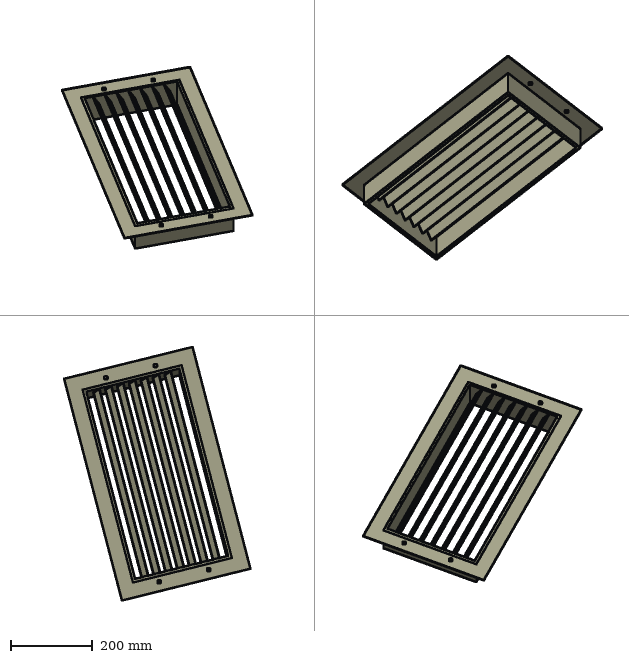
import cadquery as cq

flange_length = 575.0
flange_width = 325.0
flange_thickness = 2.0

overall_depth = 75.0
sleeve_length = 500.0
sleeve_width = 250.0
sleeve_wall = 7.5
opening_length = sleeve_length - 2 * sleeve_wall
opening_width = sleeve_width - 2 * sleeve_wall

hole_diameter = 8.5
hole_spacing_x = 529.0
hole_spacing_y = 125.0

slat_count = 7
slat_pitch = 30.0
slat_chord = 30.0
slat_thickness = 1.5
slat_tilt = 30.0
row_center_y = 2.0
slat_center_z = -16.0


def make_frame():
    """Flange and sleeve as one body with a straight rectangular opening."""
    flange = cq.Workplane("XY").rect(flange_length, flange_width).extrude(-flange_thickness)
    sleeve = cq.Workplane("XY").rect(sleeve_length, sleeve_width).extrude(-overall_depth)
    opening = cq.Workplane("XY").rect(opening_length, opening_width).extrude(-overall_depth)
    return flange.union(sleeve).cut(opening)


def make_mounting_holes():
    """Cutters for the four through holes in the flange."""
    return (
        cq.Workplane("XY")
        .rect(hole_spacing_x, hole_spacing_y, forConstruction=True)
        .vertices()
        .circle(hole_diameter / 2)
        .extrude(-flange_thickness)
    )


def make_slat(center_y):
    """Flat blade joining the two end walls, its upper edge leaning towards -Y."""
    return (
        cq.Workplane("XY")
        .box(opening_length, slat_thickness, slat_chord)
        .rotate((0, 0, 0), (1, 0, 0), slat_tilt)
        .translate((0, center_y, slat_center_z))
    )


result = make_frame().cut(make_mounting_holes())
first_slat_y = row_center_y - slat_pitch * (slat_count - 1) / 2
for index in range(slat_count):
    result = result.union(make_slat(first_slat_y + index * slat_pitch))